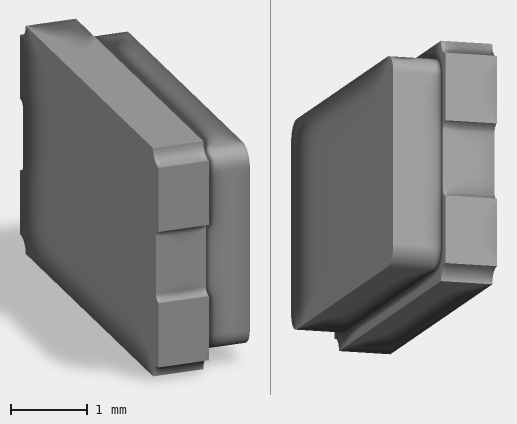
import cadquery as cq

length = 5.0
width = 3.2
thickness = 1.35
base_thickness = 0.7
lid_thickness = thickness - base_thickness
front_y = -thickness / 2

corner_radius = 0.2
notch_depth = 0.1
notch_height = 1.0
notch_radius = notch_depth

lid_margin = 0.2
lid_radius = 0.25

terminal_length = 1.3
terminal_height = 2.0
terminal_depth = 0.4


def block(size_x, size_y, size_z, center_x, start_y):
    """Box centred on Z = 0 that grows toward +Y from start_y."""
    box = cq.Workplane("XY").box(size_x, size_y, size_z, centered=(True, False, True))
    return box.translate((center_x, start_y, 0))


def make_end_notch(side):
    """Cutter for the rounded notch in the end at X = side * length / 2."""
    cutter_length = 4 * notch_depth
    center_x = side * (length / 2 - notch_depth + cutter_length / 2)
    cutter = block(cutter_length, base_thickness, notch_height, center_x, front_y)
    return cutter.edges("|Y").fillet(notch_radius)


def make_base():
    base = block(length, base_thickness, width, 0, front_y)
    corners = (
        cq.Workplane("XZ", origin=(0, front_y, 0))
        .rect(length, width, forConstruction=True)
        .vertices()
        .circle(corner_radius)
        .extrude(-base_thickness)
    )
    base = base.cut(corners)
    for side in (-1, 1):
        base = base.cut(make_end_notch(side))
    return base


def make_lid():
    lid = block(
        length - 2 * lid_margin,
        lid_thickness,
        width - 2 * lid_margin,
        0,
        front_y + base_thickness,
    )
    return lid.edges("|Y").fillet(lid_radius)


def make_terminal_blank(side):
    """Full block at one end, before the end notch is removed."""
    center_x = side * (length - terminal_length) / 2
    return block(terminal_length, terminal_depth, terminal_height, center_x, front_y)


def make_terminal(side):
    return make_terminal_blank(side).cut(make_end_notch(side))


def make_housing():
    """Base and lid in one piece, with a recess for each terminal."""
    housing = make_base().union(make_lid())
    for side in (-1, 1):
        housing = housing.cut(make_terminal_blank(side))
    return housing


housing = make_housing()
terminals = [make_terminal(side) for side in (-1, 1)]

result = cq.Compound.makeCompound([housing.val(), *[terminal.val() for terminal in terminals]])